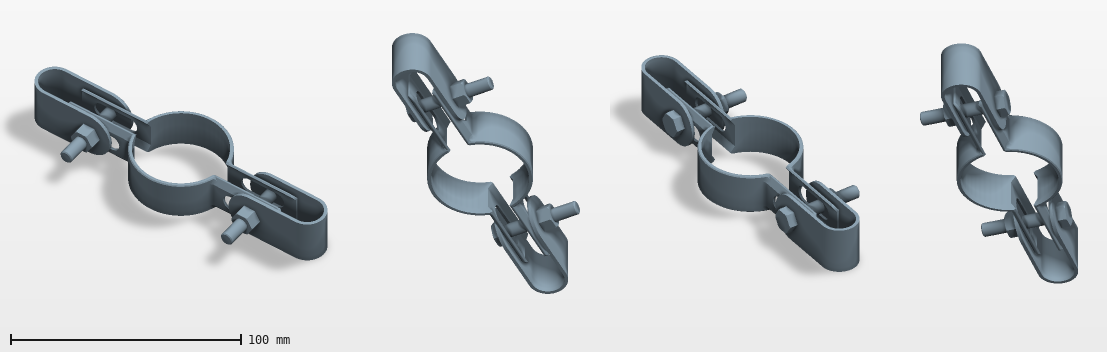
import cadquery as cq
import math


TOLERANCE = 0.02

span = 152.5
bracket_height = 22.3
bracket_thickness = 1.5
bracket_radius = 8.8
bolt_x = 42.8

ring_radius = 23.0
ring_thickness = 1.7
clamp_half_height = 9.5
ear_end_x = 57.2
ear_thickness = 1.2
web_half_height = 6.3
flange_setback = 2.3
ear_corner_radius = 3.2
bend_radius = 1.8
edge_break = 0.5
slot_width = 8.0
slot_near_x = 27.8
slot_far_x = 50.8

bolt_diameter = 6.1
bolt_tip_y = -26.2
tip_chamfer = 0.5
hex_flats = 9.9
head_height = 4.1
nut_height = 6.0
hex_bevel = 0.5

bracket_bend_x = span / 2 - bracket_radius
bracket_inner_radius = bracket_radius - bracket_thickness
ear_face_y = bracket_inner_radius
ring_bore_radius = ring_radius - ring_thickness
flange_rise = clamp_half_height - web_half_height
flange_width = math.hypot(flange_setback, flange_rise)
tip_y = ear_face_y - flange_setback
rim_start_z = clamp_half_height - edge_break
hex_corners = hex_flats / math.cos(math.pi / 6)


def along_y(start_y):
    """Workplane at start_y that extrudes toward -Y, with X right and Z up."""
    return cq.Workplane("XZ", origin=(0, start_y, 0))


def symmetric_in_z(points):
    """Closes a (y, z) outline with its mirror image below z = 0."""
    return points + [(y, -z) for y, z in reversed(points)]


def bar_along_x(points):
    return cq.Workplane("YZ").polyline(symmetric_in_z(points)).close().extrude(ear_end_x, both=True)


def ear_corner_outline():
    """Rectangle over both ears, with rounded corners at their ends."""
    outline = along_y(ring_radius).rect(2 * ear_end_x, 2 * clamp_half_height).extrude(ring_radius)
    return outline.edges("|Y").fillet(ear_corner_radius)


def slots():
    length = slot_far_x - slot_near_x
    middle = (slot_far_x + slot_near_x) / 2
    return (
        along_y(ring_radius)
        .pushPoints([(-middle, 0), (middle, 0)])
        .slot2D(length, slot_width)
        .extrude(ring_radius)
    )


def on_outer_rim(edge):
    """True for the ear edges round the outer surface, but not for its two fold lines."""
    point = edge.positionAt(0.5)
    height = abs(point.z)
    lean = flange_setback * max(0, height - web_half_height) / flange_rise
    on_surface = math.isclose(point.y, ear_face_y - lean, abs_tol=TOLERANCE)
    return on_surface and not math.isclose(height, web_half_height, abs_tol=TOLERANCE)


def on_bend(edge):
    """True for the edges where the outer faces of ear and ring meet."""
    point = edge.positionAt(0.5)
    on_ring = math.isclose(math.hypot(point.x, point.y), ring_radius, abs_tol=TOLERANCE)
    return on_ring and tip_y < point.y <= ear_face_y + TOLERANCE and abs(point.z) < rim_start_z


def clamp_half():
    """The half clamp on the +Y side: half ring plus a channel-shaped ear on each side."""
    web_inner_y = ear_face_y - ear_thickness
    web_inner_z = web_half_height - ear_thickness * (flange_width - flange_setback) / flange_rise
    tip_inner_y = tip_y - ear_thickness * flange_rise / flange_width
    tip_inner_z = clamp_half_height - ear_thickness * flange_setback / flange_width
    inside = [(web_inner_y, web_inner_z), (tip_inner_y, tip_inner_z), (tip_y, clamp_half_height)]

    ears = bar_along_x(inside + [(ear_face_y, web_half_height)])
    hollow = bar_along_x(inside + [(tip_y, ring_radius), (-ring_radius, ring_radius)])
    ring = cq.Workplane("XY").circle(ring_radius).extrude(clamp_half_height, both=True)
    bore = cq.Workplane("XY").circle(ring_bore_radius).extrude(clamp_half_height, both=True)

    ears = ears.intersect(ear_corner_outline())
    ears = ears.edges().filter(on_outer_rim).fillet(edge_break)
    ring = ring.edges().chamfer(edge_break)
    half = ears.union(ring.cut(hollow)).cut(bore)
    half = half.edges().filter(on_bend).fillet(bend_radius)
    return half.cut(slots())


def bracket_form(radius):
    """Block with a half-round +X end, as wide as the bracket's outside or inside."""
    length = bracket_bend_x - bolt_x + bracket_height
    legs = cq.Workplane("XY").box(length, 2 * radius, bracket_height)
    legs = legs.translate((bracket_bend_x - length / 2, 0, 0))
    bend = cq.Workplane("XY").center(bracket_bend_x, 0).circle(radius)
    return legs.union(bend.extrude(bracket_height / 2, both=True))


def u_bracket():
    """The bracket on the +X side: a strip bent in a half circle, with rounded free ends."""
    strip = bracket_form(bracket_radius).cut(bracket_form(bracket_inner_radius))
    rounded_end = across_bracket(bracket_height)
    beyond_bolt = cq.Workplane("XY").box(span, span, span).translate((bolt_x + span / 2, 0, 0))
    return strip.intersect(rounded_end.union(beyond_bolt)).cut(across_bracket(bolt_diameter))


def across_bracket(diameter):
    """Cylinder on the bolt axis that reaches through both bracket legs."""
    face = along_y(bracket_radius).center(bolt_x, 0)
    return face.circle(diameter / 2).extrude(2 * bracket_radius)


def hexagon(start_y, height):
    """Hexagonal prism whose corners are turned down at the -Y end."""
    prism = along_y(start_y).polygon(6, hex_corners).extrude(height)
    turned = along_y(start_y).circle(hex_corners / 2).extrude(height).faces("<Y").chamfer(hex_bevel)
    return prism.intersect(turned)


def bolt():
    shank = along_y(bracket_radius).circle(bolt_diameter / 2).extrude(bracket_radius - bolt_tip_y)
    shank = shank.faces("<Y").chamfer(tip_chamfer)
    head = hexagon(-bracket_radius, head_height).mirror("XZ")
    return shank.union(head)


def nut():
    body = hexagon(-bracket_radius, nut_height)
    return body.cut(along_y(-bracket_radius).circle(bolt_diameter / 2).extrude(nut_height))


clamp_halves = [clamp_half(), clamp_half().mirror("XZ")]
u_brackets = [u_bracket(), u_bracket().mirror("YZ")]
bolts = [bolt().translate((x, 0, 0)) for x in (-bolt_x, bolt_x)]
nuts = [nut().translate((x, 0, 0)) for x in (-bolt_x, bolt_x)]

bodies = clamp_halves + u_brackets + bolts + nuts
result = cq.Compound.makeCompound([body.val() for body in bodies])